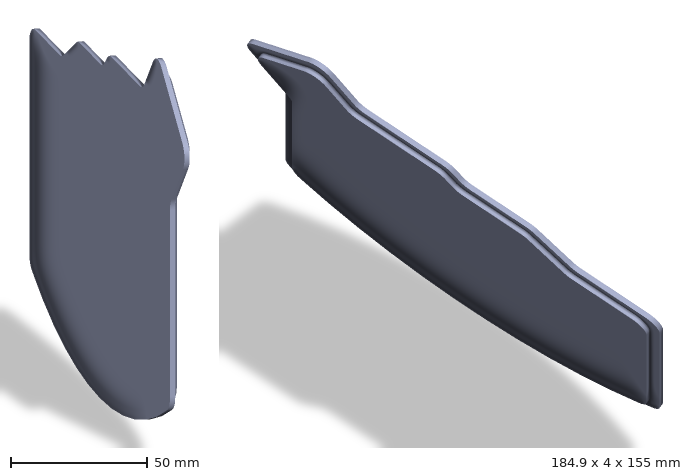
import cadquery as cq
import math

layer_thickness = 2.0
back_inset = 4.5
corner_radius = 7.0

body_width = 167.8
bottom_radius = 156.5

low_step_height = 117.5
middle_step_height = 130.3
high_step_height = 137.5
low_ramp_start = 38.7
low_ramp_end = 58.0
high_ramp_start = 87.7
high_ramp_end = 95.0

tab_angle = math.radians(50)
tab_start = 135.0
tab_length = 26.6
tab_width = 46.6

along = (math.cos(tab_angle), math.sin(tab_angle))
across = (math.sin(tab_angle), -math.cos(tab_angle))
tab_top = (tab_start + tab_length * along[0], high_step_height + tab_length * along[1])
tab_tip = (tab_top[0] + tab_width * across[0], tab_top[1] + tab_width * across[1])
tab_root_height = tab_tip[1] - (tab_tip[0] - body_width) * math.tan(tab_angle)

half_width = body_width / 2
bottom_corner_height = bottom_radius - math.sqrt(bottom_radius**2 - half_width**2)


def sharp_outline(y):
    """Closed outline before its corners are rounded, at depth y."""
    return (
        cq.Workplane("XZ", origin=(0, y, 0))
        .moveTo(0, bottom_corner_height)
        .lineTo(0, low_step_height)
        .lineTo(low_ramp_start, low_step_height)
        .lineTo(low_ramp_end, middle_step_height)
        .lineTo(high_ramp_start, middle_step_height)
        .lineTo(high_ramp_end, high_step_height)
        .lineTo(tab_start, high_step_height)
        .lineTo(*tab_top)
        .lineTo(*tab_tip)
        .lineTo(body_width, tab_root_height)
        .lineTo(body_width, bottom_corner_height)
        .threePointArc((half_width, 0), (0, bottom_corner_height))
        .close()
    )


def rounded_plate(outline):
    """Extrude an outline toward +Y and round all its corners."""
    return outline.extrude(-layer_thickness).edges("|Y").fillet(corner_radius)


front_plate = rounded_plate(sharp_outline(0))
back_plate = rounded_plate(sharp_outline(layer_thickness).offset2D(-back_inset, "intersection"))

result = front_plate.union(back_plate)